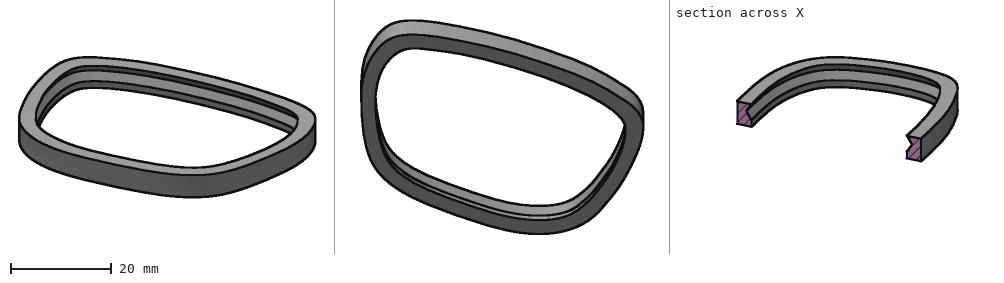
import cadquery as cq

rim_height = 5.1
lower_wall_height = 1.55
groove_bottom_z = (lower_wall_height + rim_height) / 2
groove_depth_share = 0.35

outer_points = [
    (-28.05, -4.45), (-27.55, -6.85), (-26.9, -9.25), (-25.1, -12.8),
    (-19.45, -17.55), (-12.75, -19.6), (-4.3, -20.2), (4.6, -19.95),
    (12.2, -18.75), (18.1, -15.75), (22.3, -10.85), (25.6, -4.5),
    (28.6, 4.0), (28.7, 9.3), (26.85, 14.25), (21.95, 17.15),
    (15.6, 18.6), (5.3, 19.9), (-4.7, 20.2), (-13.8, 19.75),
    (-20.45, 18.35), (-24.75, 16.7), (-26.95, 14.6), (-28.2, 11.4),
    (-28.85, 5.6), (-28.75, 0.5),
]
opening_points = [
    (-24.95, -3.9), (-24.5, -6.1), (-23.8, -8.2), (-22.15, -11.3),
    (-16.75, -15.05), (-10.8, -16.6), (-3.65, -17.0), (3.85, -16.85),
    (10.4, -16.0), (15.75, -13.7), (19.55, -9.5), (22.75, -4.05),
    (25.4, 3.6), (25.5, 8.3), (23.55, 12.5), (18.7, 14.6),
    (13.3, 15.8), (4.5, 16.8), (-3.9, 17.1), (-11.65, 16.7),
    (-17.5, 15.75), (-21.4, 14.45), (-23.65, 12.9), (-25.05, 10.1),
    (-25.75, 5.0), (-25.6, 0.45),
]

groove_bottom_points = [
    (
        inner_x + groove_depth_share * (outer_x - inner_x),
        inner_y + groove_depth_share * (outer_y - inner_y),
    )
    for (outer_x, outer_y), (inner_x, inner_y) in zip(outer_points, opening_points)
]


def smooth_loop(points, z=0):
    """Closed smooth curve through the points at height z."""
    curve = cq.Edge.makeSpline([cq.Vector(x, y, z) for x, y in points], periodic=True)
    return cq.Wire.assembleEdges([curve])


def groove_half(opening_z):
    """Solid that widens from the opening to the groove bottom."""
    opening = smooth_loop(opening_points, opening_z)
    bottom = smooth_loop(groove_bottom_points, groove_bottom_z)
    return cq.Solid.makeLoft([opening, bottom], True)


ring = cq.Solid.extrudeLinear(
    smooth_loop(outer_points), [smooth_loop(opening_points)], cq.Vector(0, 0, rim_height)
)

for opening_z in (lower_wall_height, rim_height):
    ring = ring.cut(groove_half(opening_z))

result = cq.Workplane("XY").add(ring.Solids()[0])